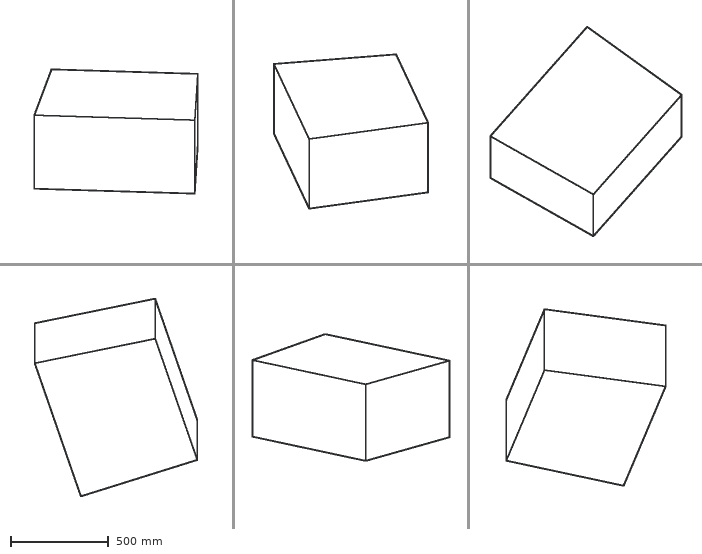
import cadquery as cq

length_x = 1007.0
width_y = 960.0
height = 407.0

front_corner_x = 314.0
back_corner_x = 631.0
left_corner_y = 552.0
right_corner_y = 449.0

corners = [
    (front_corner_x, 0),
    (length_x, right_corner_y),
    (back_corner_x, width_y),
    (0, left_corner_y),
]

result = cq.Workplane("XY").polyline(corners).close().extrude(height)